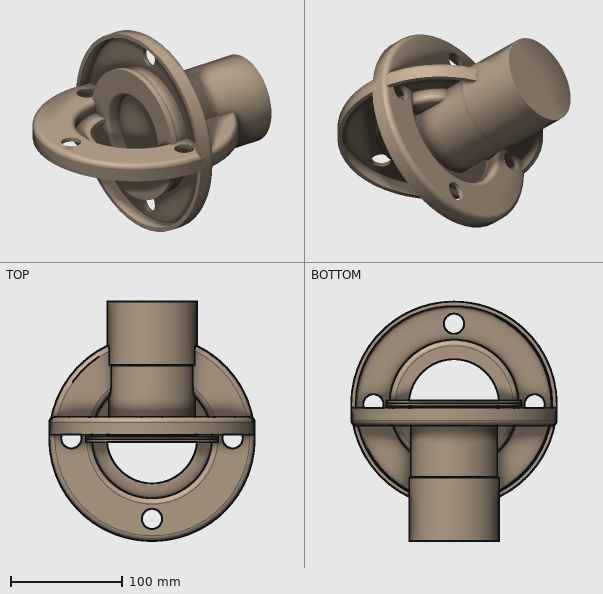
import cadquery as cq
import math

FLANGE_DIA = 185.0
FLANGE_HEIGHT = 16.0
SHEET = 4.0
SEAT_DIA = 108.0
TUBE_HOLE_DIA = 81.0
OUTER_ROUND = 5.0
INNER_ROUND = OUTER_ROUND - SHEET
BOLT_HOLE_DIA = 18.0
BOLT_CIRCLE_DIA = 145.0
BOLT_COUNT = 4
RIM_OFFSET = 3.2
LAP_X = 75.0

TUBE_BACK_Y = 123.0
SOCKET_DIA = 81.0
SOCKET_FRONT_Y = 66.0
SOCKET_STEP_LENGTH = 1.0
BODY_DIA = 78.0
BODY_FRONT_Y = 2.5
NECK_DIA = 76.0
DISC_DIA = 122.0
DISC_THICKNESS = 2.5
MOUTH_Y = -3.5
MOUTH_ROUND = 3.5
BORE_DIA = 72.0
BORE_DEPTH = 13.0

GASKET_THICKNESS = 2.5

DISC_BACK_Y = MOUTH_Y + DISC_THICKNESS


def round_corner(outline, center, radius, angle, end):
    """Continue an outline with a quarter arc whose middle lies at the given angle from its center."""
    middle_x = center[0] + radius * math.cos(math.radians(angle))
    middle_y = center[1] + radius * math.sin(math.radians(angle))
    return outline.threePointArc((middle_x, middle_y), end)


def make_flange():
    """Flange along +Z with its open rim at Z = 0 and its recessed seat open at the top."""
    rim = FLANGE_DIA / 2
    rim_inside = rim - SHEET
    seat = SEAT_DIA / 2
    hub = seat + SHEET
    hole = TUBE_HOLE_DIA / 2
    top = FLANGE_HEIGHT
    underside = top - SHEET
    top_arc = top - OUTER_ROUND
    underside_arc = underside - INNER_ROUND
    floor = SHEET
    floor_arc = floor + INNER_ROUND

    section = cq.Workplane("XZ").moveTo(rim_inside, 0).lineTo(rim, 0).lineTo(rim, top_arc)
    section = round_corner(section, (rim - OUTER_ROUND, top_arc), OUTER_ROUND, 45, (rim - OUTER_ROUND, top))
    section = section.lineTo(seat + OUTER_ROUND, top)
    section = round_corner(section, (seat + OUTER_ROUND, top_arc), OUTER_ROUND, 135, (seat, top_arc))
    section = section.lineTo(seat, floor_arc)
    section = round_corner(
        section, (seat - INNER_ROUND, floor_arc), INNER_ROUND, -45, (seat - INNER_ROUND, floor)
    )
    section = section.lineTo(hole, floor).lineTo(hole, 0).lineTo(hub - OUTER_ROUND, 0)
    section = round_corner(section, (hub - OUTER_ROUND, OUTER_ROUND), OUTER_ROUND, -45, (hub, OUTER_ROUND))
    section = section.lineTo(hub, underside_arc)
    section = round_corner(
        section, (hub + INNER_ROUND, underside_arc), INNER_ROUND, 135, (hub + INNER_ROUND, underside)
    )
    section = section.lineTo(rim_inside - INNER_ROUND, underside)
    section = round_corner(
        section, (rim_inside - INNER_ROUND, underside_arc), INNER_ROUND, 45, (rim_inside, underside_arc)
    )
    dish = section.close().revolve(360, (0, 0, 0), (0, 1, 0))

    bolt_holes = (
        cq.Workplane("XY")
        .polarArray(BOLT_CIRCLE_DIA / 2, 0, 360, BOLT_COUNT)
        .circle(BOLT_HOLE_DIA / 2)
        .extrude(FLANGE_HEIGHT)
    )
    return dish.cut(bolt_holes)


def make_tube():
    """Half section in X and Y, revolved about the Y axis."""
    bore = BORE_DIA / 2
    bore_floor_y = MOUTH_Y + BORE_DEPTH
    mouth = bore + MOUTH_ROUND
    mouth_arc_y = MOUTH_Y + MOUTH_ROUND

    section = (
        cq.Workplane("XY")
        .moveTo(0, bore_floor_y)
        .lineTo(0, TUBE_BACK_Y)
        .lineTo(SOCKET_DIA / 2, TUBE_BACK_Y)
        .lineTo(SOCKET_DIA / 2, SOCKET_FRONT_Y)
        .lineTo(BODY_DIA / 2, SOCKET_FRONT_Y - SOCKET_STEP_LENGTH)
        .lineTo(BODY_DIA / 2, BODY_FRONT_Y)
        .lineTo(NECK_DIA / 2, BODY_FRONT_Y)
        .lineTo(NECK_DIA / 2, DISC_BACK_Y)
        .lineTo(DISC_DIA / 2, DISC_BACK_Y)
        .lineTo(DISC_DIA / 2, MOUTH_Y)
        .lineTo(mouth, MOUTH_Y)
    )
    section = round_corner(section, (mouth, mouth_arc_y), MOUTH_ROUND, -135, (bore, mouth_arc_y))
    return section.lineTo(bore, bore_floor_y).close().revolve(360, (0, 0, 0), (0, 1, 0))


def make_gasket():
    return (
        cq.Workplane("XZ", origin=(0, DISC_BACK_Y, 0))
        .circle(DISC_DIA / 2)
        .circle(NECK_DIA / 2)
        .extrude(-GASKET_THICKNESS)
    )


tube = make_tube()
gasket = make_gasket()

level_flange = make_flange().translate((0, 0, -RIM_OFFSET))
upright_flange = make_flange().rotate((0, 0, 0), (1, 0, 0), -90).translate((0, RIM_OFFSET, 0))

level_flange = level_flange.cut(tube).cut(gasket)

lap_core = cq.Workplane("XY").box(2 * LAP_X, FLANGE_DIA, FLANGE_DIA)
level_outside = level_flange.cut(lap_core)
level_flange = level_flange.cut(upright_flange.intersect(lap_core))
upright_flange = upright_flange.cut(level_outside)

upright_solid = max(upright_flange.solids().vals(), key=lambda solid: solid.Volume())

result = cq.Compound.makeCompound([level_flange.solids().val(), upright_solid, tube.val(), gasket.val()])